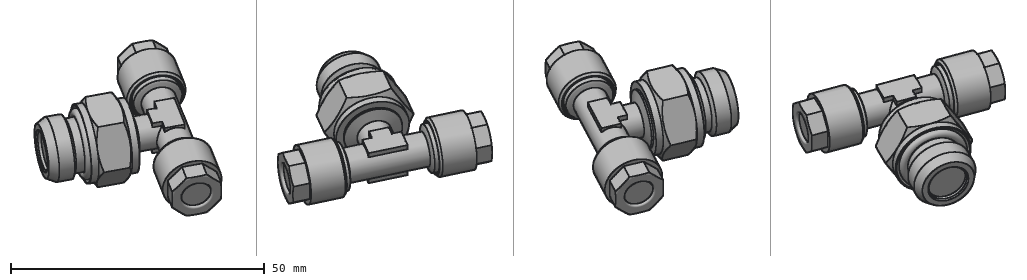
import cadquery as cq
import math

TUBE_RADIUS = 3.55
PAD_HALF_WIDTH = 2.05
PAD_REACH = 4.05
PAD_HALF_HEIGHT = 4.0

ARM_END = 20.6
COLLAR_INNER = 9.55
COLLAR_OUTER = 17.1
COLLAR_RADIUS = 6.0
COLLAR_CHAMFER = 0.5
COLLAR_RECESS_RADIUS = 5.25
COLLAR_RECESS_DEPTH = 0.5
SLEEVE_INNER = 8.25
SLEEVE_RADIUS = 4.95
SLEEVE_ROUND_START = 8.5
SLEEVE_ROUND_END = 8.75
SLEEVE_CONE_RADIUS = 4.4
OCTAGON_FLATS = 10.0
OCTAGON_FACE_RADIUS = 4.9
OCTAGON_CHAMFER_ANGLE = 15.0
ARM_BORE_RADIUS = 3.05
ARM_BORE_ROUND = 0.37
ARM_BORE_DEPTH = 0.65

DOME_START = 7.05
DOME_END = 7.7
DOME_RADIUS = 6.0
DISC_START = 8.1
DISC_RADIUS = 7.55
HEX_START = 9.6
HEX_END = 16.55
HEX_FLATS = 16.0
HEX_CHAMFER_ANGLE = 30.0
SEAT_END = 18.05
SEAT_GROOVE_RADIUS = 7.75
SEAT_GROOVE_DEPTH = 1.0
SEAL_OUTER_RADIUS = 7.15
SEAL_MINOR_RADIUS = 0.85
SEAL_FRONT = 18.9
NECK_RADIUS = 5.52
NECK_END = 20.5
THREAD_START = 21.1
THREAD_RADIUS = 6.55
THREAD_END = 24.23
BRANCH_END = 26.1
BRANCH_BORE_RADIUS = 4.0
BRANCH_BORE_CHAMFER = 0.3
BRANCH_BORE_DEPTH = 1.0

SEAL_CENTRE_RADIUS = SEAL_OUTER_RADIUS - SEAL_MINOR_RADIUS
HEX_CORNER_RADIUS = HEX_FLATS / 2 / math.cos(math.pi / 6)
OCTAGON_CORNER_RADIUS = OCTAGON_FLATS / 2 / math.cos(math.pi / 8)


def turned(points):
    """Solid of revolution about Z from (radius, distance) points, closed along the axis."""
    closed = [(0, points[0][1])] + points + [(0, points[-1][1])]
    return cq.Workplane("XZ").polyline(closed).close().revolve(360, (0, 0), (0, 1))


def prism(sides, flats, start, end):
    """Regular prism along Z with one pair of flats square to Y."""
    corner_diameter = flats / math.cos(math.pi / sides)
    blank = cq.Workplane("XY", origin=(0, 0, start)).polygon(sides, corner_diameter).extrude(end - start)
    turn = 90 - 180 / sides
    return blank.rotate((0, 0, 0), (0, 0, 1), turn)


def make_arm():
    """One end of the run, built along +Z from the centre of the tee."""
    sleeve = (
        cq.Workplane("XZ")
        .moveTo(0, SLEEVE_INNER)
        .lineTo(TUBE_RADIUS, SLEEVE_INNER)
        .lineTo(SLEEVE_CONE_RADIUS, SLEEVE_ROUND_START)
        .tangentArcPoint((SLEEVE_RADIUS, SLEEVE_ROUND_END), relative=False)
        .lineTo(SLEEVE_RADIUS, COLLAR_OUTER)
        .lineTo(0, COLLAR_OUTER)
        .close()
        .revolve(360, (0, 0), (0, 1))
    )
    collar = turned([
        (COLLAR_RECESS_RADIUS, COLLAR_INNER + COLLAR_RECESS_DEPTH),
        (COLLAR_RECESS_RADIUS, COLLAR_INNER),
        (COLLAR_RADIUS - COLLAR_CHAMFER, COLLAR_INNER),
        (COLLAR_RADIUS, COLLAR_INNER + COLLAR_CHAMFER),
        (COLLAR_RADIUS, COLLAR_OUTER),
    ])
    slope = math.tan(math.radians(OCTAGON_CHAMFER_ANGLE))
    chamfer_drop = (OCTAGON_CORNER_RADIUS - OCTAGON_FACE_RADIUS) * slope
    octagon_envelope = turned([
        (OCTAGON_CORNER_RADIUS, COLLAR_OUTER),
        (OCTAGON_CORNER_RADIUS, ARM_END - chamfer_drop),
        (OCTAGON_FACE_RADIUS, ARM_END),
    ])
    octagon = prism(8, OCTAGON_FLATS, COLLAR_OUTER, ARM_END).intersect(octagon_envelope)
    bored = octagon.faces(">Z").workplane().hole(2 * ARM_BORE_RADIUS, ARM_BORE_DEPTH)
    smallest_edge = cq.selectors.RadiusNthSelector(0)
    bored = bored.faces(">Z").edges("%CIRCLE").edges(smallest_edge).fillet(ARM_BORE_ROUND)
    return sleeve.union(collar).union(bored)


def make_nut():
    """Hexagon nut with both ends chamfered at the corners."""
    slope = math.tan(math.radians(HEX_CHAMFER_ANGLE))
    envelope = turned([
        (DISC_RADIUS, HEX_START),
        (HEX_CORNER_RADIUS, HEX_START + (HEX_CORNER_RADIUS - DISC_RADIUS) * slope),
        (HEX_CORNER_RADIUS, HEX_END - (HEX_CORNER_RADIUS - HEX_FLATS / 2) * slope),
        (HEX_FLATS / 2, HEX_END),
    ])
    return prism(6, HEX_FLATS, HEX_START, HEX_END).intersect(envelope)


def make_branch():
    """The threaded branch, built along +Z from the centre of the tee."""
    tube = turned([(TUBE_RADIUS, 0), (TUBE_RADIUS, DISC_START)])
    dome = turned([(TUBE_RADIUS, DOME_START), (DOME_RADIUS, DOME_END), (DOME_RADIUS, DISC_START)])
    disc = turned([(DISC_RADIUS, DISC_START), (DISC_RADIUS, HEX_START)])
    seat = turned([
        (HEX_FLATS / 2, HEX_END),
        (HEX_FLATS / 2, SEAT_END),
        (SEAT_GROOVE_RADIUS, SEAT_END),
        (SEAT_GROOVE_RADIUS - SEAT_GROOVE_DEPTH, SEAT_END - SEAT_GROOVE_DEPTH),
    ])
    spigot = turned([
        (NECK_RADIUS, HEX_END),
        (NECK_RADIUS, NECK_END),
        (THREAD_RADIUS, THREAD_START),
        (THREAD_RADIUS, THREAD_END),
        (NECK_RADIUS, BRANCH_END),
    ])
    seal = (
        cq.Workplane("XZ", origin=(0, 0, SEAL_FRONT - SEAL_MINOR_RADIUS))
        .center(-SEAL_CENTRE_RADIUS, 0)
        .circle(SEAL_MINOR_RADIUS)
        .revolve(360, (SEAL_CENTRE_RADIUS, 0), (SEAL_CENTRE_RADIUS, 1))
    )
    bore = turned([
        (BRANCH_BORE_RADIUS, BRANCH_END - BRANCH_BORE_DEPTH),
        (BRANCH_BORE_RADIUS, BRANCH_END - BRANCH_BORE_CHAMFER),
        (BRANCH_BORE_RADIUS + BRANCH_BORE_CHAMFER, BRANCH_END),
    ])
    branch = tube.union(dome).union(disc).union(make_nut()).union(seat).union(spigot).union(seal)
    return branch.cut(bore)


def make_pad():
    """T-shaped block whose flat top and bottom stand proud of the tubes."""
    height = 2 * PAD_HALF_HEIGHT
    run = cq.Workplane("XY").box(2 * PAD_REACH, 2 * PAD_HALF_WIDTH, height)
    branch = cq.Workplane("XY").box(2 * PAD_HALF_WIDTH, PAD_REACH, height).translate((0, -PAD_REACH / 2, 0))
    return run.union(branch)


run_tube = cq.Workplane("YZ").circle(TUBE_RADIUS).extrude(COLLAR_INNER, both=True)
arm_right = make_arm().rotate((0, 0, 0), (0, 1, 0), 90)
arm_left = arm_right.mirror("YZ")
branch = make_branch().rotate((0, 0, 0), (1, 0, 0), 90)

result = run_tube.union(arm_right).union(arm_left).union(branch).union(make_pad())